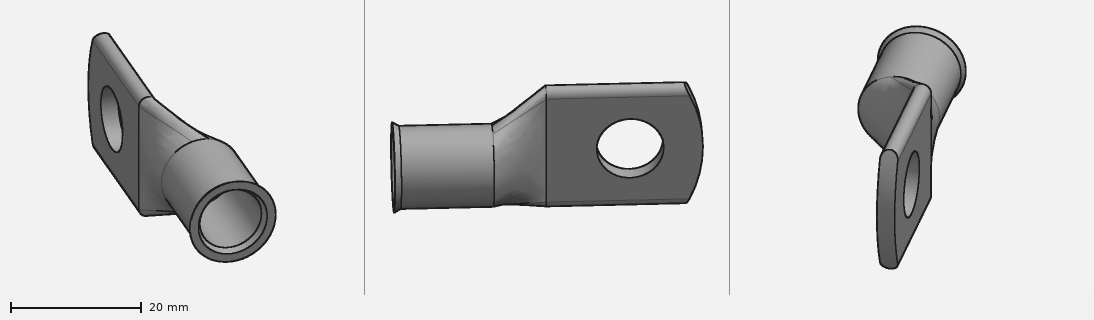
import cadquery as cq
import math

total_length = 47.7
palm_width = 20.85
palm_thickness = 2.8
palm_back = -7.1
palm_end = 24.05
tip_radius = palm_width
hole_diameter = 10.25
hole_x = 11.15

barrel_start = 32.5
barrel_radius = 6.4
flare_radius = 6.95
flare_start = 46.7
wall = palm_thickness / 2
bore_radius = barrel_radius - wall
neck_side_angle = math.radians(12)

palm_y = palm_back + palm_thickness / 2
edge_radius = palm_thickness / 2
flat_half_width = palm_width / 2 - edge_radius


def section(x, y_center, half_y, half_z, y_bulge, z_bulge):
    """Four-edge section: two stretches facing +Y and -Y, and a side arc at each Z end."""
    high, low = y_center + half_y, y_center - half_y
    outline = cq.Workplane("YZ", origin=(x, 0, 0)).moveTo(high, -half_z)
    if y_bulge:
        outline = outline.threePointArc((y_center + y_bulge, 0), (high, half_z))
    else:
        outline = outline.lineTo(high, half_z)
    outline = outline.threePointArc((y_center, z_bulge), (low, half_z))
    if y_bulge:
        outline = outline.threePointArc((y_center - y_bulge, 0), (low, -half_z))
    else:
        outline = outline.lineTo(low, -half_z)
    return outline.threePointArc((y_center, -z_bulge), (high, -half_z)).close()


def palm_section(x):
    return section(x, palm_y, edge_radius, flat_half_width, 0, palm_width / 2)


def make_palm():
    body = palm_section(0).extrude(palm_end)
    tip_disc = (
        cq.Workplane("XZ", origin=(tip_radius, palm_y, 0))
        .circle(tip_radius)
        .extrude(palm_thickness, both=True)
    )
    tail = cq.Workplane("XY").box(palm_end, 2 * palm_thickness, palm_width)
    tail = tail.translate((tip_radius + palm_end / 2, palm_y, 0))
    hole = (
        cq.Workplane("XZ", origin=(hole_x, palm_y, 0))
        .circle(hole_diameter / 2)
        .extrude(palm_thickness, both=True)
    )
    return body.intersect(tip_disc.union(tail)).cut(hole)


def make_neck():
    start = palm_section(palm_end).val()
    end = section(
        barrel_start,
        0,
        barrel_radius * math.sin(neck_side_angle),
        barrel_radius * math.cos(neck_side_angle),
        barrel_radius,
        barrel_radius,
    ).val()
    return cq.Workplane(cq.Solid.makeLoft([start, end], True))


def barrel_form(radius, mouth_radius):
    """Solid of revolution along the barrel, straight and then flared at the +X mouth."""
    profile = [
        (barrel_start, 0),
        (barrel_start, radius),
        (flare_start, radius),
        (total_length, mouth_radius),
        (total_length, 0),
    ]
    return cq.Workplane("XY").polyline(profile).close().revolve(360, (0, 0, 0), (1, 0, 0))


barrel = barrel_form(barrel_radius, flare_radius)
bore = barrel_form(bore_radius, flare_radius - wall)

result = make_palm().union(make_neck()).union(barrel).cut(bore)